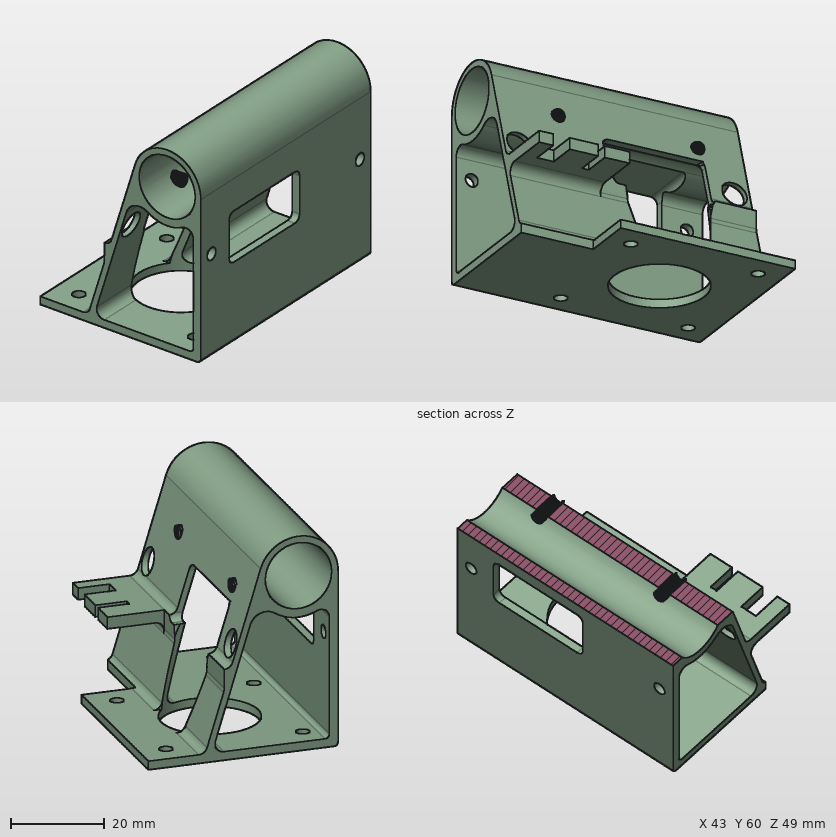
import cadquery as cq
import math

width = 43.0
length = 60.0
floor_thickness = 2.0
back_thickness = 2.0
front_thickness = 1.45
lean = math.radians(17.15)

tube_radius = 9.0
bore_radius = 7.5
roof_radius = 9.5
tube_x = width - tube_radius
tube_z = 40.0

outer_fillet = 2.0
rib_fillet = 3.5
heel_radius = 1.0
cavity_floor_front_fillet = 2.0
cavity_floor_back_fillet = 1.0
cavity_roof_back_fillet = 2.0
cavity_roof_front_fillet = 3.75

arm_top = 20.75
arm_thickness = 2.7
arm_bottom = arm_top - arm_thickness
arm_tip_x = 4.3
arm_width = 22.0
slot_end_x = 11.4
slots = [(44.0, 45.65), (52.55, 56.6)]

flange_side = 42.5
flange_x = width / 2
flange_y = flange_side / 2
pilot_diameter = 22.0
flange_hole_diameter = 3.0
flange_hole_pitch = 31.0
short_floor_x = 12.2

window_y = 22.43
window_width = 24.86
window_bottom = 19.55
window_top = 32.03
window_fillet = 1.6
notch_top_width = 21.2
notch_bottom_width = 14.3

mount_z = 25.0
mount_inset = 3.8
mount_ys = [mount_inset, length - mount_inset]
access_diameter = 6.0
mount_hole_diameter = 3.0

insert_diameter = 3.0
insert_valley_diameter = 2.8
insert_bore_diameter = 2.2
insert_bore_valley_diameter = 2.6
coil_pitch = 0.5
coil_turns = 15
coil_crest_flat = 0.12
insert_length = coil_pitch * coil_turns
insert_start_x = 22.5
insert_z = 35.28
insert_ys = [11.1, 45.1]


def front_x(z, depth=0.0):
    """X of the front wall at height z, at a depth measured square to its outer face."""
    return tube_x - (tube_radius - depth) / math.cos(lean) + (z - tube_z) * math.tan(lean)


def along_front(x, z, distance):
    """Point at a distance up the slope of the front wall from (x, z)."""
    return (x + distance * math.sin(lean), z + distance * math.cos(lean))


step_reach = outer_fillet / math.tan((math.pi / 2 + lean) / 2)
rib_x = front_x(arm_top) - step_reach
rib_bottom = tube_z + (rib_x - front_x(tube_z)) / math.tan(lean)


def block(x_range, y_range, z_range):
    sizes = [high - low for low, high in (x_range, y_range, z_range)]
    corner = (x_range[0], y_range[0], z_range[0])
    return cq.Workplane("XY").box(*sizes, centered=False).translate(corner)


def rod(diameter, x_range, y, z):
    """Cylinder along X."""
    plane = cq.Workplane("YZ", origin=(x_range[0], y, z))
    return plane.circle(diameter / 2).extrude(x_range[1] - x_range[0])


def outer_form():
    """Full-length outer section: floor, ribbed front wall, tube and back."""
    rib_reach = rib_fillet * math.tan(lean / 2)
    foot_x = front_x(floor_thickness)
    form = (
        cq.Workplane("XZ")
        .moveTo(0, 0)
        .lineTo(width, 0)
        .lineTo(width, tube_z)
        .threePointArc(
            (tube_x, tube_z + tube_radius),
            (tube_x - tube_radius * math.cos(lean), tube_z + tube_radius * math.sin(lean)),
        )
        .lineTo(*along_front(front_x(arm_top), arm_top, step_reach))
        .tangentArcPoint((rib_x, arm_top), relative=False)
        .lineTo(rib_x, rib_bottom + rib_reach)
        .tangentArcPoint(along_front(rib_x, rib_bottom, -rib_reach), relative=False)
        .lineTo(*along_front(foot_x, floor_thickness, step_reach))
        .tangentArcPoint((foot_x - step_reach, floor_thickness), relative=False)
        .lineTo(0, floor_thickness)
        .close()
        .extrude(-length)
    )
    return form.edges("|Y and >X and <Z").fillet(heel_radius)


def cavity():
    """Hollow between the floor, the two walls and the underside of the tube."""
    back_x = width - back_thickness
    roof_back_z = tube_z - math.sqrt(roof_radius**2 - (back_x - tube_x) ** 2)
    wall_depth = tube_radius - front_thickness
    half_chord = math.sqrt(roof_radius**2 - wall_depth**2)
    touch = (tube_x - wall_depth * math.cos(lean), tube_z + wall_depth * math.sin(lean))
    roof_front = along_front(*touch, -half_chord)
    form = (
        cq.Workplane("XZ")
        .moveTo(front_x(floor_thickness, front_thickness), floor_thickness)
        .lineTo(back_x, floor_thickness)
        .lineTo(back_x, roof_back_z)
        .threePointArc((tube_x, tube_z - roof_radius), roof_front)
        .close()
        .extrude(-length)
    )
    form = form.edges("|Y and <Z and <X").fillet(cavity_floor_front_fillet)
    form = form.edges("|Y and <Z and >X").fillet(cavity_floor_back_fillet)
    roof_front_edge = cq.NearestToPointSelector((roof_front[0], length / 2, roof_front[1]))
    form = form.edges(roof_front_edge).fillet(cavity_roof_front_fillet)
    roof_back_edge = cq.NearestToPointSelector((back_x, length / 2, roof_back_z))
    return form.edges(roof_back_edge).fillet(cavity_roof_back_fillet)


def arm():
    """Slotted arm, filleted into the front wall below."""
    under_reach = outer_fillet / math.tan((math.pi / 2 - lean) / 2)
    under_x = front_x(arm_bottom)
    fillet_end = along_front(under_x, arm_bottom, -under_reach)
    form = (
        cq.Workplane("XZ", origin=(0, length - arm_width, 0))
        .moveTo(front_x(arm_top, front_thickness / 2), arm_top)
        .lineTo(arm_tip_x, arm_top)
        .lineTo(arm_tip_x, arm_bottom)
        .lineTo(under_x - under_reach, arm_bottom)
        .tangentArcPoint(fillet_end, relative=False)
        .lineTo(front_x(fillet_end[1], front_thickness / 2), fillet_end[1])
        .close()
        .extrude(-arm_width)
    )
    for slot in slots:
        form = form.cut(block((arm_tip_x, slot_end_x), slot, (arm_bottom, arm_top)))
    return form


def window():
    center_z = (window_top + window_bottom) / 2
    return (
        cq.Workplane("YZ", origin=(0, window_y, center_z))
        .rect(window_width, window_top - window_bottom)
        .extrude(width)
        .edges("|X")
        .fillet(window_fillet)
    )


def notch():
    """Tapered opening in the front wall, from the window down to the top of the floor."""
    return (
        cq.Workplane("YZ", origin=(0, flange_y, 0))
        .moveTo(-notch_bottom_width / 2, floor_thickness)
        .lineTo(notch_bottom_width / 2, floor_thickness)
        .lineTo(notch_top_width / 2, window_bottom)
        .lineTo(-notch_top_width / 2, window_bottom)
        .close()
        .extrude(tube_x)
    )


def flange_holes():
    """Pilot hole, carried up through the foot of the front wall, and four screw holes."""
    pilot = cq.Workplane("XY").center(flange_x, flange_y).circle(pilot_diameter / 2).extrude(window_top)
    holes = (
        cq.Workplane("XY")
        .center(flange_x, flange_y)
        .rect(flange_hole_pitch, flange_hole_pitch, forConstruction=True)
        .vertices()
        .circle(flange_hole_diameter / 2)
        .extrude(floor_thickness)
    )
    return pilot.union(holes)


def build_insert(y):
    """Tube of touching coil rings, rounded outside and with V-shaped valleys in its bore."""
    outline = cq.Workplane("XY").moveTo(0, insert_valley_diameter / 2)
    for turn in range(coil_turns):
        crest = ((turn + 0.5) * coil_pitch, insert_diameter / 2)
        valley = ((turn + 1) * coil_pitch, insert_valley_diameter / 2)
        outline = outline.threePointArc(crest, valley)
    outline = outline.lineTo(insert_length, insert_bore_valley_diameter / 2)
    for turn in reversed(range(coil_turns)):
        crest_x = (turn + 0.5) * coil_pitch
        outline = outline.lineTo(crest_x + coil_crest_flat / 2, insert_bore_diameter / 2)
        outline = outline.lineTo(crest_x - coil_crest_flat / 2, insert_bore_diameter / 2)
        outline = outline.lineTo(turn * coil_pitch, insert_bore_valley_diameter / 2)
    insert = outline.close().revolve(360, (0, 0), (1, 0))
    return insert.translate((insert_start_x, y, insert_z))


def build_housing():
    housing = outer_form().cut(cavity()).union(arm())
    housing = housing.cut(
        cq.Workplane("XZ", origin=(tube_x, 0, tube_z)).circle(bore_radius).extrude(-length)
    )
    housing = housing.cut(window()).cut(notch()).cut(flange_holes())
    housing = housing.cut(block((0, short_floor_x), (flange_side, length), (0, rib_bottom)))
    for y in mount_ys:
        housing = housing.cut(rod(access_diameter, (rib_x, tube_x), y, mount_z))
        housing = housing.cut(rod(mount_hole_diameter, (tube_x, width), y, mount_z))
    insert_range = (insert_start_x, insert_start_x + insert_length)
    for y in insert_ys:
        housing = housing.cut(rod(insert_diameter, insert_range, y, insert_z))
    return housing


housing = build_housing()
inserts = [build_insert(y) for y in insert_ys]

result = cq.Compound.makeCompound([housing.val(), *[insert.val() for insert in inserts]])